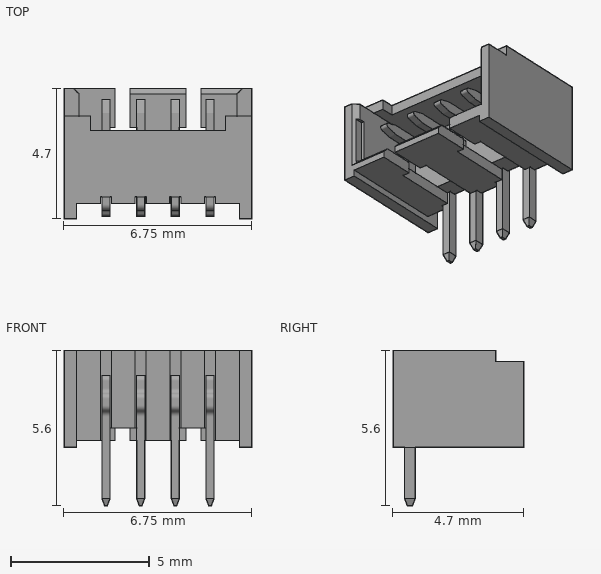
import cadquery as cq
import math


LENGTH = 6.75
DEPTH = 4.7
HEIGHT = 3.495
HALF = LENGTH / 2

CHEEK_WIDTH = 0.445
CHEEK_BACK = 0.555
CHEEK_FOOT = 0.25
FLOOR_THICKNESS = 0.445
ROOF_THICKNESS = 0.4
BACK_THICKNESS = 0.795
SIDE_WALL = 0.54
FLOOR_TOP = CHEEK_FOOT + FLOOR_THICKNESS
CAVITY_BACK = CHEEK_BACK + BACK_THICKNESS
CAVITY_TOP = HEIGHT - ROOF_THICKNESS
CAVITY_HALF = HALF - SIDE_WALL

MOUTH_STEP_DEPTH = 1.0
ROOF_RECESS_DEPTH = 1.51
ROOF_RECESS_HALF = 2.42
MOUTH_CHAMFER = 0.2
LATCH_RECESS_REACH = 0.425
LATCH_RECESS_DEPTH = 0.1
LATCH_RECESS_TOP = HEIGHT - 1.04

PIN_COUNT = 4
PITCH = 1.25
PIN_WIDTH = 0.3
PIN_THICKNESS = 0.39
PIN_XS = [(i - (PIN_COUNT - 1) / 2) * PITCH for i in range(PIN_COUNT)]
PIN_GROOVE_WIDTH = 0.39
PIN_GROOVE_DEPTH = 0.24

LEG_FRONT = CHEEK_BACK + PIN_GROOVE_DEPTH
LEG_BACK = LEG_FRONT - PIN_THICKNESS
LEG_BOTTOM = -2.105
POINT_LENGTH = 0.27
POINT_TOP = LEG_BOTTOM + POINT_LENGTH
POINT_INSET = 0.1

BLADE_MID = (FLOOR_TOP + CAVITY_TOP) / 2
BLADE_TIP = DEPTH - 0.4
TAPER_START = DEPTH - 0.9
TIP_RADIUS = 0.095

SHANK_TOP = HEIGHT - 0.9
BEND_RADIUS = 0.2
NECK_BACK = 0.31
BULGE_BACK = 0.095
NECK_BOTTOM = HEIGHT - 1.385
BULGE_BOTTOM = HEIGHT - 2.0

FLOOR_OPENING_X = 1.275
FLOOR_OPENING_WIDTH = 1.08
FLOOR_SLOT_WIDTH = 0.525
FLOOR_SLOT_REACH = 1.41


def block(x0, x1, y0, y1, z0, z1):
    """Box between two corners."""
    return cq.Workplane("XY").box(x1 - x0, y1 - y0, z1 - z0, centered=False).translate((x0, y0, z0))


def make_shell():
    """Hollow housing with cheeks, open toward +Y."""
    shell = block(-HALF, HALF, CHEEK_BACK, DEPTH, CHEEK_FOOT, HEIGHT)
    for x0 in (-HALF, HALF - CHEEK_WIDTH):
        shell = shell.union(block(x0, x0 + CHEEK_WIDTH, 0, DEPTH, 0, HEIGHT))
    cavity = block(-CAVITY_HALF, CAVITY_HALF, CAVITY_BACK, DEPTH, FLOOR_TOP, CAVITY_TOP)
    mouth_step = block(-HALF, HALF, DEPTH - MOUTH_STEP_DEPTH, DEPTH, CAVITY_TOP, HEIGHT)
    recess_start = DEPTH - ROOF_RECESS_DEPTH
    roof_recess = block(-ROOF_RECESS_HALF, ROOF_RECESS_HALF, recess_start, DEPTH, CAVITY_TOP, HEIGHT)
    return shell.cut(cavity).cut(mouth_step).cut(roof_recess)


def cheek_chamfer(side):
    """Lead-in on the inner mouth edge of one cheek."""
    inner = side * CAVITY_HALF
    outer = side * (CAVITY_HALF + MOUTH_CHAMFER)
    return (
        cq.Workplane("XY", origin=(0, 0, FLOOR_TOP))
        .polyline([(inner, DEPTH - MOUTH_CHAMFER), (inner, DEPTH), (outer, DEPTH)])
        .close()
        .extrude(HEIGHT - FLOOR_TOP)
    )


def latch_recess(side):
    """Shallow recess in the inner face of one cheek, just inside the mouth."""
    x0, x1 = sorted((side * CAVITY_HALF, side * (CAVITY_HALF + LATCH_RECESS_DEPTH)))
    return block(x0, x1, DEPTH - LATCH_RECESS_REACH, DEPTH, FLOOR_TOP, LATCH_RECESS_TOP)


def floor_chamfer():
    """Lead-in on the mouth edge of the floor; the -X floor section stays square.

    Its +X end is mitred into the cheek lead-in.
    """
    start = -FLOOR_OPENING_X
    wedge = (
        cq.Workplane("YZ", origin=(start, 0, 0))
        .polyline([
            (DEPTH - MOUTH_CHAMFER, FLOOR_TOP),
            (DEPTH, FLOOR_TOP),
            (DEPTH, FLOOR_TOP - MOUTH_CHAMFER),
        ])
        .close()
        .extrude(CAVITY_HALF + MOUTH_CHAMFER - start)
    )
    miter = (
        cq.Workplane("XY")
        .polyline([
            (CAVITY_HALF, DEPTH - MOUTH_CHAMFER),
            (CAVITY_HALF + MOUTH_CHAMFER, DEPTH),
            (CAVITY_HALF + MOUTH_CHAMFER, DEPTH - MOUTH_CHAMFER),
        ])
        .close()
        .extrude(HEIGHT)
    )
    return wedge.cut(miter)


def floor_opening(x):
    """Wide opening below the back wall and floor, with a narrow slot on to the mouth."""
    wide_end = DEPTH - FLOOR_SLOT_REACH
    wide_half = FLOOR_OPENING_WIDTH / 2
    slot_half = FLOOR_SLOT_WIDTH / 2
    wide = block(x - wide_half, x + wide_half, 0, wide_end, 0, FLOOR_TOP)
    return wide.union(block(x - slot_half, x + slot_half, wide_end, DEPTH, 0, FLOOR_TOP))


def pin_groove(x):
    """Vertical groove in the back wall that clears one pin leg."""
    half = PIN_GROOVE_WIDTH / 2
    return block(x - half, x + half, CHEEK_BACK, LEG_FRONT, 0, HEIGHT)


def s_bend(profile, y, z, shift):
    """Append a downward S-bend of two equal arcs from (y, z), moving the outline by shift in Y."""
    angle = math.acos(1 - abs(shift) / (2 * BEND_RADIUS))
    half_drop = BEND_RADIUS * math.sin(angle)
    bow_y = math.copysign(BEND_RADIUS * (1 - math.cos(angle / 2)), shift)
    bow_z = BEND_RADIUS * math.sin(angle / 2)
    end_z = z - 2 * half_drop
    profile = profile.threePointArc((y + bow_y, z - bow_z), (y + shift / 2, z - half_drop))
    return profile.threePointArc((y + shift - bow_y, end_z + bow_z), (y + shift, end_z))


def make_shank():
    """Tall plate in the groove with the press shoulder at its back, running down as the leg."""
    bow = BEND_RADIUS * (1 - math.sqrt(0.5))
    profile = (
        cq.Workplane("YZ", origin=(-PIN_WIDTH / 2, 0, 0))
        .moveTo(LEG_FRONT, SHANK_TOP)
        .lineTo(NECK_BACK + BEND_RADIUS, SHANK_TOP)
        .threePointArc((NECK_BACK + bow, SHANK_TOP - bow), (NECK_BACK, SHANK_TOP - BEND_RADIUS))
        .lineTo(NECK_BACK, NECK_BOTTOM)
    )
    profile = s_bend(profile, NECK_BACK, NECK_BOTTOM, BULGE_BACK - NECK_BACK)
    profile = profile.lineTo(BULGE_BACK, BULGE_BOTTOM)
    profile = s_bend(profile, BULGE_BACK, BULGE_BOTTOM, LEG_BACK - BULGE_BACK)
    return (
        profile
        .lineTo(LEG_BACK, POINT_TOP)
        .lineTo(LEG_FRONT, POINT_TOP)
        .close()
        .extrude(PIN_WIDTH)
    )


def make_blade():
    """Contact blade along +Y, tapered above and below into a fully rounded tip."""
    half = PIN_THICKNESS / 2
    tip_center = BLADE_TIP - TIP_RADIUS
    run = tip_center - TAPER_START
    slope = math.atan2(half, run) - math.asin(TIP_RADIUS / math.hypot(half, run))
    tangent_y = tip_center + TIP_RADIUS * math.sin(slope)
    tangent_rise = TIP_RADIUS * math.cos(slope)
    return (
        cq.Workplane("YZ", origin=(-PIN_WIDTH / 2, 0, 0))
        .moveTo(LEG_FRONT, BLADE_MID + half)
        .lineTo(TAPER_START, BLADE_MID + half)
        .lineTo(tangent_y, BLADE_MID + tangent_rise)
        .threePointArc((BLADE_TIP, BLADE_MID), (tangent_y, BLADE_MID - tangent_rise))
        .lineTo(TAPER_START, BLADE_MID - half)
        .lineTo(LEG_FRONT, BLADE_MID - half)
        .close()
        .extrude(PIN_WIDTH)
    )


def make_point():
    """Four-sided point at the lower end of the leg."""
    return (
        cq.Workplane("XY", origin=(0, (LEG_BACK + LEG_FRONT) / 2, POINT_TOP))
        .rect(PIN_WIDTH, PIN_THICKNESS)
        .workplane(offset=-POINT_LENGTH)
        .rect(PIN_WIDTH - 2 * POINT_INSET, PIN_THICKNESS - 2 * POINT_INSET)
        .loft(ruled=True)
    )


result = make_shell().cut(floor_chamfer())
for side in (-1, 1):
    result = result.cut(cheek_chamfer(side)).cut(latch_recess(side))
    result = result.cut(floor_opening(side * FLOOR_OPENING_X))
pin = make_shank().union(make_blade()).union(make_point())
for pin_x in PIN_XS:
    result = result.cut(pin_groove(pin_x)).union(pin.translate((pin_x, 0, 0)))